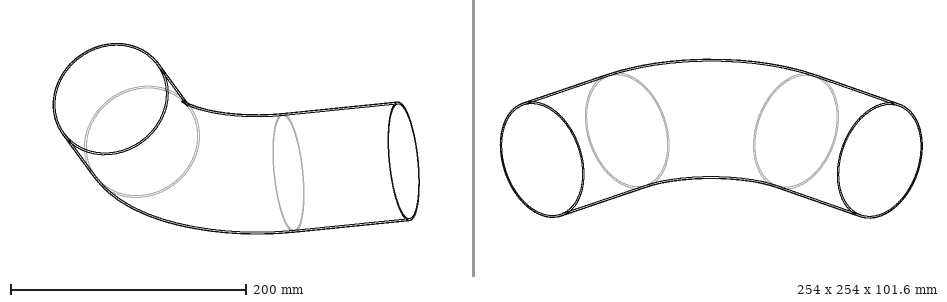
import cadquery as cq

outer_diameter = 101.6
inner_diameter = 98.3
bend_radius = outer_diameter
leg_length = outer_diameter
bend_angle = 90
leg_reach = bend_radius + leg_length


def ring_section(plane, origin):
    """Pipe wall cross-section on the given plane."""
    return (
        cq.Workplane(plane, origin=origin)
        .circle(outer_diameter / 2)
        .circle(inner_diameter / 2)
    )


def make_x_leg():
    """Straight leg that opens toward -X."""
    return ring_section("YZ", (-leg_reach, 0, 0)).extrude(leg_length)


def make_y_leg():
    """Straight leg that opens toward +Y."""
    return ring_section("XZ", (0, leg_reach, 0)).extrude(leg_length)


def make_bend():
    """Bend from the end of the X leg to the start of the Y leg."""
    return ring_section("YZ", (-bend_radius, 0, 0)).revolve(
        bend_angle, (bend_radius, 0, 0), (bend_radius, 1, 0)
    )


result = make_x_leg().union(make_bend()).union(make_y_leg())